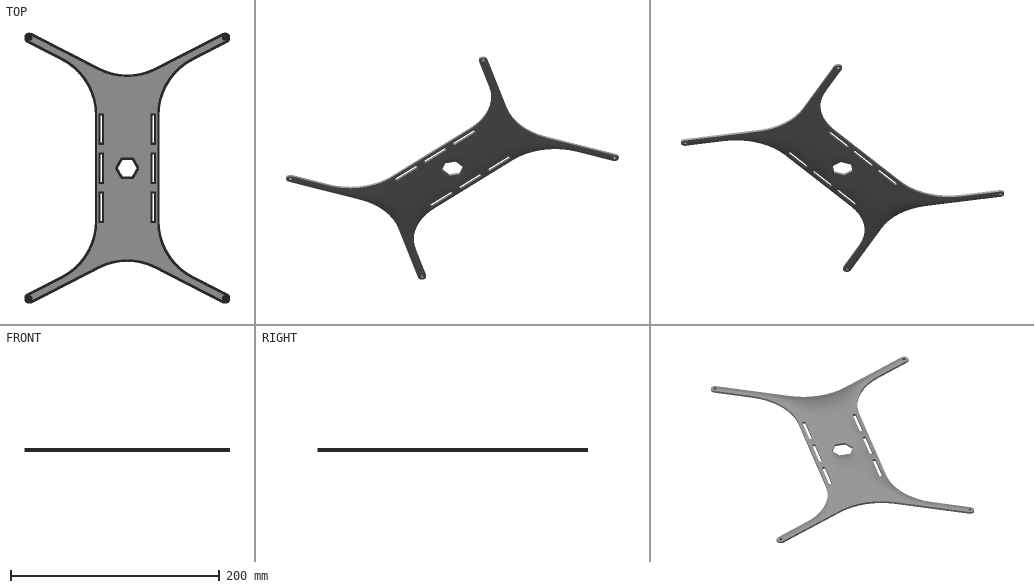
import cadquery as cq
import math

thickness = 2.0
body_width = 60.0
blend_radius = 60.0

tip_x = 93.77
tip_y = 125.0
arm_width = 8.0
arm_angle = math.radians(27.2)
tip_hole_diameter = 3.0

hexagon_across_flats = 18.0

slot_width = 3.0
slot_length = 28.0
slot_pitch = 37.5
slots_per_column = 3
slot_column_spacing = 50.0


def quarter_plate():
    """The +X +Y quarter of the plate, bounded by the two centre planes."""
    half_body = body_width / 2
    tip_radius = arm_width / 2
    sine = math.sin(arm_angle)
    cosine = math.cos(arm_angle)
    slope = math.tan(arm_angle)

    axis_height = tip_y - tip_x * slope
    upper_edge_height = axis_height + tip_radius / cosine
    lower_edge_height = axis_height - tip_radius / cosine

    end_centre_y = upper_edge_height + blend_radius / cosine
    end_middle = (0, end_centre_y - blend_radius)
    end_halfway = (
        blend_radius * math.sin(arm_angle / 2),
        end_centre_y - blend_radius * math.cos(arm_angle / 2),
    )
    end_tangent = (blend_radius * sine, end_centre_y - blend_radius * cosine)

    side_centre_x = half_body + blend_radius
    side_centre_y = lower_edge_height + side_centre_x * slope - blend_radius / cosine
    side_mid_angle = (math.pi + math.pi / 2 + arm_angle) / 2
    side_tangent = (side_centre_x - blend_radius * sine, side_centre_y + blend_radius * cosine)
    side_halfway = (
        side_centre_x + blend_radius * math.cos(side_mid_angle),
        side_centre_y + blend_radius * math.sin(side_mid_angle),
    )

    tip_upper = (tip_x - tip_radius * sine, tip_y + tip_radius * cosine)
    tip_end = (tip_x + tip_radius * cosine, tip_y + tip_radius * sine)
    tip_lower = (tip_x + tip_radius * sine, tip_y - tip_radius * cosine)

    return (
        cq.Workplane("XY")
        .moveTo(0, 0)
        .lineTo(*end_middle)
        .threePointArc(end_halfway, end_tangent)
        .lineTo(*tip_upper)
        .threePointArc(tip_end, tip_lower)
        .lineTo(*side_tangent)
        .threePointArc(side_halfway, (half_body, side_centre_y))
        .lineTo(half_body, 0)
        .close()
        .extrude(thickness)
    )


def plate():
    """Full plate outline, made by mirroring the quarter twice."""
    quarter = quarter_plate()
    half = quarter.union(quarter.mirror("YZ"))
    return half.union(half.mirror("XZ")).clean()


def tip_holes():
    """Screw holes at the four arm tips."""
    return (
        cq.Workplane("XY")
        .rect(2 * tip_x, 2 * tip_y, forConstruction=True)
        .vertices()
        .circle(tip_hole_diameter / 2)
        .extrude(thickness)
    )


def hexagon_opening():
    """Hexagonal opening at the plate centre."""
    across_corners = hexagon_across_flats / math.cos(math.pi / 6)
    return cq.Workplane("XY").polygon(6, across_corners).extrude(thickness)


def strap_slots():
    """Two columns of rectangular slots along the body sides."""
    return (
        cq.Workplane("XY")
        .rarray(slot_column_spacing, slot_pitch, 2, slots_per_column)
        .rect(slot_width, slot_length)
        .extrude(thickness)
    )


result = plate().cut(tip_holes()).cut(hexagon_opening()).cut(strap_slots())